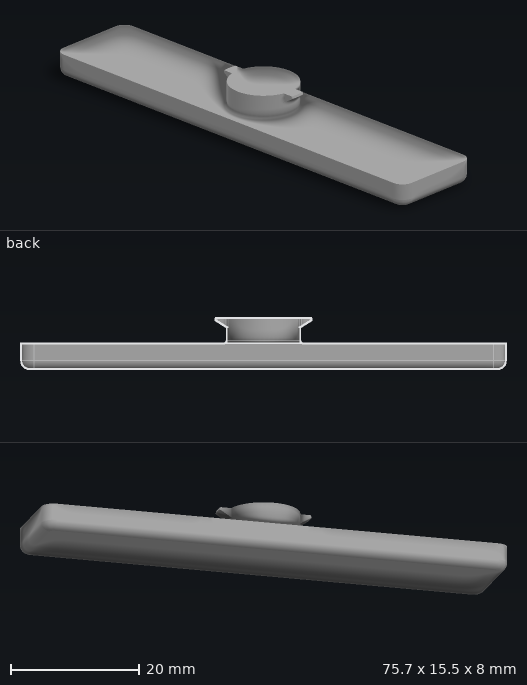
import cadquery as cq

plate_length = 75.7
plate_width = 15.5
plate_thickness = 4.0
corner_radius = 2.0
bottom_edge_radius = 1.4

boss_radius = 11.5 / 2
boss_height = 4.0
boss_base_radius = 0.5
top_z = plate_thickness + boss_height

tab_reach = 7.6
tab_width = 2.5
tab_root_depth = 1.5
tab_tip_depth = 0.4
tab_root_radius = 0.3
tab_tip_lean = 0.11
tab_tip_radius = 0.4


def make_plate():
    """Rounded bar resting on Z = 0 with its bottom rim rounded."""
    bar = cq.Workplane("XY").box(plate_length, plate_width, plate_thickness, centered=(True, True, False))
    return bar.edges("|Z").fillet(corner_radius).faces("<Z").edges().fillet(bottom_edge_radius)


def make_tab_layer():
    """Top slice of the boss with both tabs, their undersides sloping up to the tips."""
    bottom_z = top_z - tab_root_depth
    disc = cq.Workplane("XY").workplane(offset=bottom_z).circle(boss_radius).extrude(tab_root_depth)
    bar = cq.Workplane("XY").workplane(offset=bottom_z).rect(2 * tab_reach, tab_width).extrude(tab_root_depth)
    bar = bar.edges("|Z").fillet(tab_tip_radius)
    root_zone = cq.selectors.BoxSelector(
        (-boss_radius, -tab_width, bottom_z),
        (boss_radius, tab_width, top_z),
    )
    layer = disc.union(bar).edges("|Z").edges(root_zone).fillet(tab_root_radius)

    half_profile = [
        (0, bottom_z),
        (boss_radius, bottom_z),
        (tab_reach, top_z - tab_tip_depth),
        (tab_reach - tab_tip_lean, top_z),
        (0, top_z),
    ]
    envelope = cq.Workplane("XZ").polyline(half_profile).close().revolve(360, (0, 0), (0, 1))
    return layer.intersect(envelope)


def make_boss():
    """Round boss standing on the plate, with the tabs at its top."""
    column = cq.Workplane("XY").workplane(offset=plate_thickness).circle(boss_radius).extrude(boss_height)
    return column.union(make_tab_layer())


body = make_plate().union(make_boss())

base_zone = cq.selectors.BoxSelector(
    (-tab_reach, -tab_reach, plate_thickness - boss_base_radius),
    (tab_reach, tab_reach, plate_thickness + boss_base_radius),
)
result = body.edges("%CIRCLE").edges(base_zone).fillet(boss_base_radius)